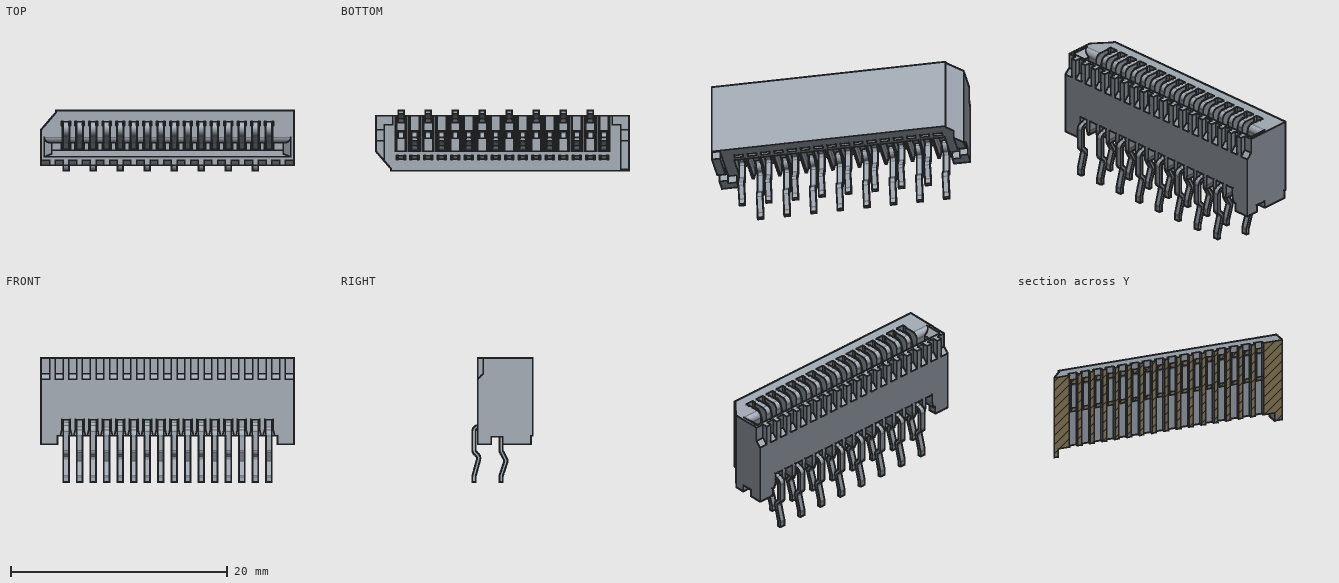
import cadquery as cq
import math

LENGTH = 23.4
DEPTH = 5.1
HEIGHT = 8.0
PITCH = 1.25
CONTACT_COUNT = 16

FOOT_LENGTH = 1.55
FOOT_FRONT_DEPTH = 0.83
FOOT_REAR_LENGTH = 0.77
FOOT_BACK = 4.95
FOOT_HEIGHT = 0.79
CHANNEL_FRONT = 1.28
CHANNEL_BACK = 2.32
CHANNEL_HEIGHT = 0.7

CORNER_WIDTH = 1.38
CORNER_DEPTH = 1.6
CORNER_STEP = 0.2

BAND_DEPTH = 0.5
BAND_HEIGHT = 1.47
RIB_WIDTH = 0.53
RIB_COUNT = CONTACT_COUNT + 2

CAVITY_MOUTH_FRONT = 0.79
CAVITY_FRONT = 1.42
CAVITY_BACK = 2.08
CAVITY_FLOOR = 2.9
LEAD_IN_RADIUS = 0.53
FRONT_LEAD_IN_HEIGHT = 1.3
END_WALL = 0.29
END_LEAD_IN_WIDTH = 0.72
END_LEAD_IN_HEIGHT = 0.6

SLOT_WIDTH = 0.81
NARROW_SLOT_WIDTH = 0.67
SLOT_BACK = 4.05
WEB_BACK = 3.7
WEB_TOP = 4.9

POCKET_TOP = 2.28
POCKET_FLARE_TOP = 1.35
POCKET_MOUTH_WIDTH = 1.08
POCKET_BACK = 3.3

STRIP = 0.33
STRIP_WIDTH = 0.54
PIN_BOTTOM = -3.5
PIN_PROJECTION = 0.5
ROW_SPACING = 2.5
FRONT_PIN_Y = -PIN_PROJECTION + STRIP / 2
INNER_PIN_Y = FRONT_PIN_Y + ROW_SPACING
EMBED = 0.3
NO_LENGTH = 1e-4

STEM_BEND = 0.445
SHOULDER_BEND = 0.4
STEM_SETBACK = STEM_BEND + SHOULDER_BEND
FRONT_SHOULDER_Z = 1.62
INNER_SHOULDER_Z = 1.2
KINK_BEND = 0.3
FRONT_KINK_TOP_BEND = 0.35
FRONT_KINK_BEND = 0.4
FRONT_KINK_TOP_Z = -0.68
FRONT_KINK_Y = 0.15
FRONT_KINK_Z = -1.16
INNER_KINK_TOP_Z = -0.6
INNER_KINK_Y = 2.64
INNER_KINK_Z = -1.5
TIP_TOP_Z = -2.93

HOOK_BEND = 0.5
HOOK_TOP = 7.6
ARM_ANGLE = math.radians(70)
LOWER_ARM_ANGLE = math.radians(62)
HOOK_LEG_Y = SLOT_BACK - STRIP / 2
HOOK_LEG_BOTTOM = 4.6
ARM_KNEE_Y = CAVITY_BACK + STRIP / 2
ARM_TIP_Y = CAVITY_FRONT + STRIP / 2
ARM_RETURN_Z = 3.2
ARM_BEND = 0.2

HOOK_CENTRE_Z = HOOK_TOP - STRIP / 2 - HOOK_BEND
HOOK_APEX_Z = HOOK_CENTRE_Z + HOOK_BEND * math.tan((math.pi / 2 + ARM_ANGLE) / 2)
ARM_KNEE_Z = HOOK_APEX_Z - (HOOK_LEG_Y - ARM_KNEE_Y) * math.tan(ARM_ANGLE)
ARM_TIP_Z = ARM_KNEE_Z - (ARM_KNEE_Y - ARM_TIP_Y) * math.tan(LOWER_ARM_ANGLE)

FRONT_PIN_PATH = [
    (FRONT_PIN_Y + STEM_SETBACK, POCKET_TOP + EMBED, 0),
    (FRONT_PIN_Y + STEM_SETBACK, FRONT_SHOULDER_Z, STEM_BEND),
    (FRONT_PIN_Y, FRONT_SHOULDER_Z, SHOULDER_BEND),
    (FRONT_PIN_Y, FRONT_KINK_TOP_Z, FRONT_KINK_TOP_BEND),
    (FRONT_KINK_Y, FRONT_KINK_Z, FRONT_KINK_BEND),
    (FRONT_PIN_Y, TIP_TOP_Z, KINK_BEND),
    (FRONT_PIN_Y, PIN_BOTTOM, 0),
]
INNER_PIN_PATH = [
    (INNER_PIN_Y + STEM_SETBACK, POCKET_TOP + EMBED, 0),
    (INNER_PIN_Y + STEM_SETBACK, INNER_SHOULDER_Z, STEM_BEND),
    (INNER_PIN_Y, INNER_SHOULDER_Z, SHOULDER_BEND),
    (INNER_PIN_Y, INNER_KINK_TOP_Z, KINK_BEND),
    (INNER_KINK_Y, INNER_KINK_Z, KINK_BEND),
    (INNER_PIN_Y, TIP_TOP_Z, KINK_BEND),
    (INNER_PIN_Y, PIN_BOTTOM, 0),
]
SPRING_PATH = [
    (WEB_BACK - EMBED, HOOK_LEG_BOTTOM - EMBED, 0),
    (HOOK_LEG_Y, HOOK_LEG_BOTTOM, ARM_BEND),
    (HOOK_LEG_Y, HOOK_APEX_Z, HOOK_BEND),
    (ARM_KNEE_Y, ARM_KNEE_Z, ARM_BEND),
    (ARM_TIP_Y, ARM_TIP_Z, ARM_BEND),
    (CAVITY_BACK + EMBED, ARM_RETURN_Z, 0),
]


def centred_row(count):
    return [(i - (count - 1) / 2) * PITCH for i in range(count)]


def box(x0, x1, y0, y1, z0, z1):
    return cq.Workplane("XY").box(x1 - x0, y1 - y0, z1 - z0, centered=False).translate((x0, y0, z0))


def side_plane(x):
    """Plane across X whose local axes are the part's Y and Z."""
    return cq.Workplane("YZ", origin=(x, 0, 0))


def along(start, direction, distance):
    return (start[0] + direction[0] * distance, start[1] + direction[1] * distance)


def strip_side(path, offset):
    """Line and arc segments of the centreline shifted left by offset: (end,) or (arc middle, end)."""
    points = [(y, z) for y, z, _ in path]
    lines = []
    for start, end in zip(points, points[1:]):
        length = math.dist(start, end)
        lines.append(((end[0] - start[0]) / length, (end[1] - start[1]) / length))
    normals = [(-dz, dy) for dy, dz in lines]
    segments = [(along(points[0], normals[0], offset),)]
    for i in range(1, len(points) - 1):
        before, after = lines[i - 1], lines[i]
        turn = math.atan2(before[0] * after[1] - before[1] * after[0],
                          before[0] * after[0] + before[1] * after[1])
        side = math.copysign(1, turn)
        radius = path[i][2]
        tangent = along(points[i], before, -radius * math.tan(abs(turn) / 2))
        centre = along(tangent, normals[i - 1], side * radius)
        shifted_radius = radius - side * offset
        bisector = (normals[i - 1][0] + normals[i][0], normals[i - 1][1] + normals[i][1])
        middle = (bisector[0] / math.hypot(*bisector), bisector[1] / math.hypot(*bisector))
        arc = [along(centre, n, -side * shifted_radius) for n in (normals[i - 1], middle, normals[i])]
        if math.dist(arc[0], segments[-1][-1]) > NO_LENGTH:
            segments.append((arc[0],))
        segments.append((arc[1], arc[2]))
    segments.append((along(points[-1], normals[-1], offset),))
    return segments


def bent_strip(path):
    """Strip of constant thickness following a centreline with rounded bends, centred on X = 0."""
    outline = side_plane(-STRIP_WIDTH / 2)
    left = strip_side(path, STRIP / 2)
    right = strip_side(path[::-1], STRIP / 2)
    outline = outline.moveTo(*left[0][0])
    for segment in left[1:] + right:
        if len(segment) == 1:
            outline = outline.lineTo(*segment[0])
        else:
            outline = outline.threePointArc(*segment)
    return outline.close().extrude(STRIP_WIDTH)


def housing_block():
    half = LENGTH / 2
    corner_back = DEPTH - CORNER_STEP
    body = (
        cq.Workplane("XY")
        .polyline([
            (-half, 0),
            (half, 0),
            (half, DEPTH),
            (-half + CORNER_WIDTH, DEPTH),
            (-half + CORNER_WIDTH, corner_back),
            (-half, corner_back - CORNER_DEPTH),
        ])
        .close()
        .extrude(HEIGHT)
    )
    inner = half - FOOT_LENGTH
    inner_rear = half - FOOT_REAR_LENGTH
    body = body.cut(box(-inner, inner, 0, FOOT_FRONT_DEPTH, 0, FOOT_HEIGHT))
    body = body.cut(box(-inner_rear, inner_rear, FOOT_FRONT_DEPTH, DEPTH, 0, FOOT_HEIGHT))
    body = body.cut(box(-half, half, FOOT_BACK, DEPTH, 0, FOOT_HEIGHT))
    return body.cut(box(-half, half, CHANNEL_FRONT, CHANNEL_BACK, 0, CHANNEL_HEIGHT))


def front_band():
    """Bevelled recess along the front top edge, interrupted by the ribs."""
    recess = (
        side_plane(-LENGTH / 2)
        .polyline([
            (0, HEIGHT),
            (BAND_DEPTH, HEIGHT),
            (BAND_DEPTH, HEIGHT - BAND_HEIGHT),
            (0, HEIGHT - BAND_HEIGHT - BAND_DEPTH),
        ])
        .close()
        .extrude(LENGTH)
    )
    for x in centred_row(RIB_COUNT):
        recess = recess.cut(box(x - RIB_WIDTH / 2, x + RIB_WIDTH / 2, 0, BAND_DEPTH, 0, HEIGHT))
    return recess


def card_cavity():
    mouth_half = LENGTH / 2 - END_WALL
    floor_half = mouth_half - END_LEAD_IN_WIDTH
    arc_shift = LEAD_IN_RADIUS * (1 - math.sqrt(0.5))
    cross_section = (
        side_plane(-mouth_half)
        .moveTo(CAVITY_MOUTH_FRONT, HEIGHT)
        .lineTo(CAVITY_FRONT, HEIGHT - FRONT_LEAD_IN_HEIGHT)
        .lineTo(CAVITY_FRONT, CAVITY_FLOOR)
        .lineTo(CAVITY_BACK, CAVITY_FLOOR)
        .lineTo(CAVITY_BACK, HEIGHT - LEAD_IN_RADIUS)
        .threePointArc(
            (CAVITY_BACK + arc_shift, HEIGHT - arc_shift),
            (CAVITY_BACK + LEAD_IN_RADIUS, HEIGHT),
        )
        .close()
        .extrude(2 * mouth_half)
    )
    shoulder = HEIGHT - END_LEAD_IN_HEIGHT
    long_section = (
        cq.Workplane("XZ")
        .polyline([
            (-mouth_half, HEIGHT),
            (-floor_half, shoulder),
            (-floor_half, CAVITY_FLOOR),
            (floor_half, CAVITY_FLOOR),
            (floor_half, shoulder),
            (mouth_half, HEIGHT),
        ])
        .close()
        .extrude(-DEPTH)
    )
    return cross_section.intersect(long_section)


def contact_slot():
    """Slot open to the underside at both ends, leaving a web in the middle."""
    half = SLOT_WIDTH / 2
    narrow = NARROW_SLOT_WIDTH / 2
    slot = box(-narrow, narrow, CAVITY_BACK, SLOT_BACK, WEB_TOP, HEIGHT)
    slot = slot.union(box(-half, half, CAVITY_FRONT, CAVITY_BACK, 0, CAVITY_FLOOR))
    return slot.union(box(-half, half, WEB_BACK, SLOT_BACK, 0, HEIGHT))


def pin_pocket():
    half = SLOT_WIDTH / 2
    mouth = POCKET_MOUTH_WIDTH / 2
    return (
        cq.Workplane("XZ")
        .polyline([
            (-mouth, FOOT_HEIGHT),
            (-half, POCKET_FLARE_TOP),
            (-half, POCKET_TOP),
            (half, POCKET_TOP),
            (half, POCKET_FLARE_TOP),
            (mouth, FOOT_HEIGHT),
        ])
        .close()
        .extrude(-POCKET_BACK)
    )


def build():
    body = housing_block().cut(front_band()).cut(card_cavity())
    opening = contact_slot().union(pin_pocket())
    spring = bent_strip(SPRING_PATH)
    contacts = [
        spring.union(bent_strip(FRONT_PIN_PATH)),
        spring.union(bent_strip(INNER_PIN_PATH)),
    ]
    for i, x in enumerate(centred_row(CONTACT_COUNT)):
        body = body.cut(opening.translate((x, 0, 0)))
        body = body.union(contacts[i % 2].translate((x, 0, 0)))
    return body


result = build()